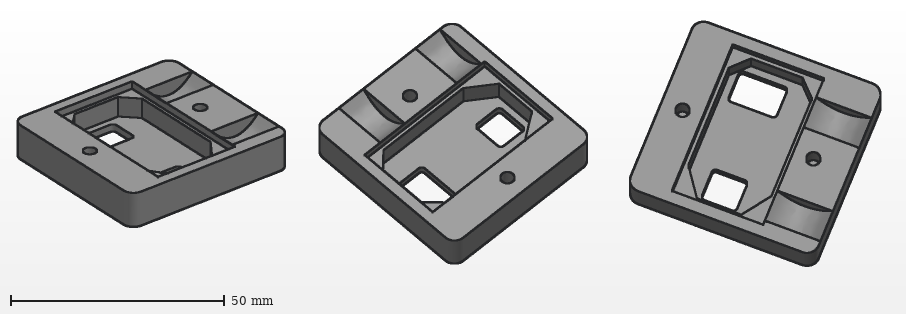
import cadquery as cq

width = 45.0
length = 47.3
height = 9.2
corner_radius = 3.0

pocket_y = -1.85
recess_width = 39.0
recess_length = 23.0
recess_depth = 2.0
cavity_width = 36.9
cavity_length = 20.9
floor_thickness = 2.0
left_bevel_x = 4.0
left_bevel_y = 3.95
right_bevel_x = 6.9
right_bevel_y = 4.85

window_x = 12.5
window_width = 8.1
left_window_length = 12.15
left_window_y = -4.25
right_window_length = 8.85
right_window_y = -2.85
window_radius = 1.0

screw_diameter = 3.3
screw_depth = 5.68
screw_offset = 16.45

channel_width = 8.0
channel_depth = 3.9
channel_centers = (-10.45, 14.45)

recess_back_y = pocket_y + recess_length / 2
recess_floor_z = height - recess_depth


def make_block():
    block = cq.Workplane("XY").rect(width, length).extrude(height)
    return block.edges("|Z").fillet(corner_radius)


def make_recess():
    plane = cq.Workplane("XY", origin=(0, pocket_y, recess_floor_z))
    return plane.rect(recess_width, recess_length).extrude(recess_depth)


def make_cavity():
    """Octagonal cavity with larger bevels at its right end."""
    half_x = cavity_width / 2
    half_y = cavity_length / 2
    outline = [
        (-half_x + left_bevel_x, half_y),
        (half_x - right_bevel_x, half_y),
        (half_x, half_y - right_bevel_y),
        (half_x, -half_y + right_bevel_y),
        (half_x - right_bevel_x, -half_y),
        (-half_x + left_bevel_x, -half_y),
        (-half_x, -half_y + left_bevel_y),
        (-half_x, half_y - left_bevel_y),
    ]
    plane = cq.Workplane("XY", origin=(0, pocket_y, floor_thickness))
    return plane.polyline(outline).close().extrude(recess_floor_z - floor_thickness)


def make_window(x, y, window_length):
    plane = cq.Workplane("XY", origin=(x, y, 0))
    window = plane.rect(window_width, window_length).extrude(floor_thickness)
    return window.edges("|Z").fillet(window_radius)


def make_channel(x):
    """Groove with a smoothly curved floor, lowest midway and level with the top face at both ends."""
    edge_y = length / 2
    middle_y = (recess_back_y + edge_y) / 2
    floor_curve = [
        (recess_back_y, height),
        (middle_y, height - channel_depth),
        (edge_y, height),
    ]
    return (
        cq.Workplane("YZ", origin=(x - channel_width / 2, 0, 0))
        .spline(floor_curve)
        .close()
        .extrude(channel_width)
    )


def make_screw_hole(y):
    plane = cq.Workplane("XY", origin=(0, y, height - screw_depth))
    return plane.circle(screw_diameter / 2).extrude(screw_depth)


result = make_block().cut(make_recess()).cut(make_cavity())
result = result.cut(make_window(-window_x, left_window_y, left_window_length))
result = result.cut(make_window(window_x, right_window_y, right_window_length))
for channel_x in channel_centers:
    result = result.cut(make_channel(channel_x))
for side in (-1, 1):
    result = result.cut(make_screw_hole(pocket_y + side * screw_offset))